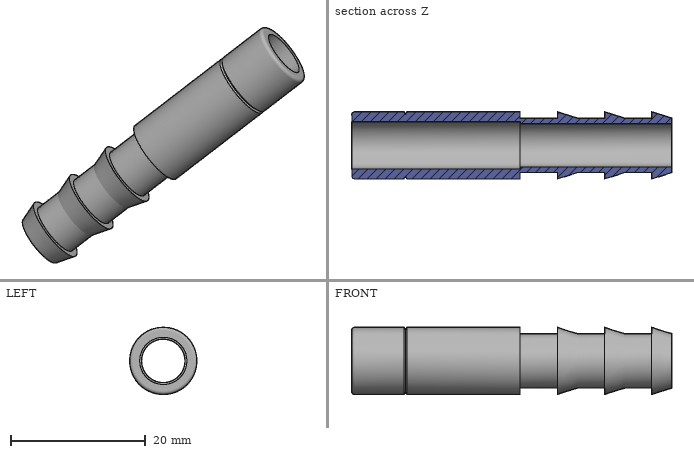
import cadquery as cq

total_length = 47.5
body_diameter = 10.0
body_length = 25.0
end_fillet = 0.5

groove_center = 8.0
groove_width = 0.4
groove_depth = 0.35

neck_diameter = 8.1
barb_diameter = body_diameter
barb_count = 3
barb_length = 3.0
barb_pitch = 7.0

body_bore_diameter = 7.0
tail_bore_diameter = 6.4
body_bore_depth = body_length

start_x = -total_length / 2
end_x = total_length / 2


def rod(x, diameter, length):
    """Cylinder along +X that starts at x."""
    return cq.Workplane("YZ", origin=(x, 0, 0)).circle(diameter / 2).extrude(length)


def revolve_about_x(points):
    """Solid of revolution of a closed (x, radius) outline around the X axis."""
    return cq.Workplane("XY").polyline(points).close().revolve(360, (0, 0, 0), (1, 0, 0))


def make_body():
    """Plain cylinder with a rounded insertion end and a V-groove."""
    body = rod(start_x, body_diameter, body_length).faces("<X").edges().fillet(end_fillet)
    radius = body_diameter / 2
    groove_x = start_x + groove_center
    groove = revolve_about_x([
        (groove_x, radius - groove_depth),
        (groove_x + groove_width, radius + groove_depth),
        (groove_x - groove_width, radius + groove_depth),
    ])
    return body.cut(groove)


def make_barb(tip_x):
    """Cone that tapers towards +X from a sharp square shoulder down to the neck."""
    shoulder_x = tip_x - barb_length
    return revolve_about_x([
        (shoulder_x, 0),
        (shoulder_x, barb_diameter / 2),
        (tip_x, neck_diameter / 2),
        (tip_x, 0),
    ])


def make_tail():
    """Neck cylinder carrying evenly spaced barbs."""
    neck_x = start_x + body_length
    tail = rod(neck_x, neck_diameter, total_length - body_length)
    for index in range(barb_count):
        tail = tail.union(make_barb(end_x - index * barb_pitch))
    return tail


def make_bore():
    """Through bore with a step where the body meets the tail."""
    wide_bore = rod(start_x, body_bore_diameter, body_bore_depth)
    narrow_bore = rod(start_x, tail_bore_diameter, total_length)
    return wide_bore.union(narrow_bore)


result = make_body().union(make_tail()).cut(make_bore())